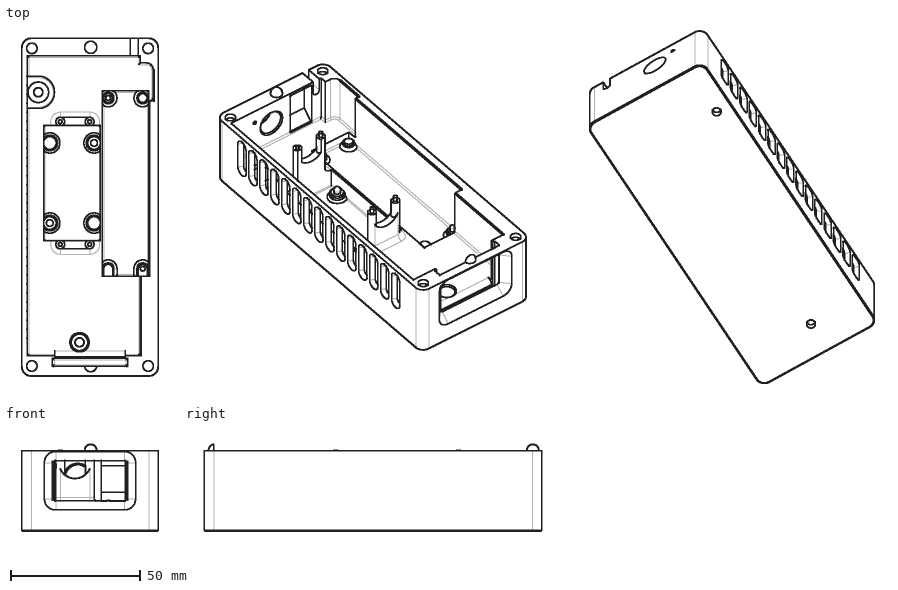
import cadquery as cq
import math

length = 130.8
width = 52.8
body_height = 31.1
corner_radius = 3.7
bottom_chamfer = 0.4

floor_z = 11.0
floor_fillet = 0.7
rim_chamfer = 0.4
left_wall_x = -24.3
right_wall_x = 19.5
front_wall_y = -57.5
back_wall_y = 58.6
pocket_x = 24.5
pocket_front_y = 41.0
pocket_back_y = 55.9
pocket_corner_radius = 2.6

long_recess_x = (4.7, 22.8)
long_recess_y = (-26.7, 45.1)
long_recess_z = 7.0
small_recess_x = (-17.9, 3.9)
small_recess_y = (-13.0, 31.7)
small_recess_z = 3.0
small_recess_fillet = 0.4

support_height = 2.5
support_pin_height = 2.5
long_support_radius = 2.2
long_pin_diameter = 1.8
small_support_radius = 3.0
small_pin_diameter = 2.6
support_chamfer = 0.5
long_support_foot = 1.2
small_support_foot = 0.9
support_inset = 2.4
long_support_end_inset = 2.9
small_support_end_inset = 6.8

post_diameter = 3.4
post_x = (-11.5, -0.1)
post_offset = 1.5
post_top_z = 29.3
post_tip_diameter = 1.5
post_tip_height = 2.0
cradle_end_z = 24.1
cradle_bottom_z = 20.4
cradle_foot_radius = 2.1

screw_diameter = 3.4
well_floor_z = 3.0
front_well_xy = (-4.0, -52.3)
front_well_diameter = 6.4
front_well_chamfer = 0.5
back_well_xy = (-20.0, 44.5)
back_well_diameter = 8.0
back_boss_radius = 6.3
back_boss_height = 1.6
back_boss_fillet = 0.5

vent_count = 15
vent_row_span = 98.0
vent_pitch = vent_row_span / (vent_count - 1)
vent_width = 5.2
vent_height = 17.0
vent_flare = 0.9
vent_center_z = 20.7

window_width = 35.3
window_height = 22.6
window_center_z = 19.5
window_corner_radius = 4.3
window_bevel = 3.5
panel_slot_width = 29.0
panel_slot_y = (-61.6, -58.5)
panel_opening_width = 27.2
sill_radius = 2.2
sill_front_y = -57.8

round_port_diameter = 9.8
round_port_xz = (-4.7, 20.8)
round_port_chamfer = 0.5
indicator_diameter = 1.5
indicator_xz = (-12.8, 25.2)
nook_x = (4.5, 14.9)
nook_depth = 4.7
nook_back_z = (15.0, 25.2)
cable_slot_width = 3.0
cable_slot_x = 17.1
cable_slot_bottom_z = 24.1

magnet_diameter = 4.0
magnet_depth = 2.0
magnet_x = 22.5
magnet_y = 61.5
dome_radius = 2.4
dome_base_height = 0.1
dome_x = 0.3
back_dome_y = 61.9
front_dome_y = -61.3


def block(x_limits, y_limits, z_limits):
    """Box given by its limits along each axis."""
    limits = (x_limits, y_limits, z_limits)
    sizes = [high - low for low, high in limits]
    return cq.Workplane("XY").box(*sizes, centered=False).translate(
        (x_limits[0], y_limits[0], z_limits[0])
    )


def rod(center, diameter, z_limits):
    """Vertical cylinder."""
    bottom, top = z_limits
    return (
        cq.Workplane("XY", origin=(center[0], center[1], bottom))
        .circle(diameter / 2)
        .extrude(top - bottom)
    )


def make_body():
    return (
        cq.Workplane("XY")
        .box(width, length, body_height, centered=(True, True, False))
        .edges("|Z").fillet(corner_radius)
        .faces("<Z").edges().chamfer(bottom_chamfer)
    )


def cavity_space():
    main = block(
        (left_wall_x, right_wall_x), (front_wall_y, back_wall_y), (floor_z, body_height)
    )
    pocket = (
        block((0, pocket_x), (pocket_front_y, pocket_back_y), (floor_z, body_height))
        .edges("|Z and >X and >Y").fillet(pocket_corner_radius)
        .edges("|Z and >X and <Y").fillet(pocket_x - long_recess_x[1])
    )
    return main.union(pocket).faces("<Z").edges().fillet(floor_fillet)


def small_recess_space():
    return (
        block(small_recess_x, small_recess_y, (small_recess_z, floor_z))
        .faces("<Z").edges().fillet(small_recess_fillet)
    )


def right_rim_chamfer():
    """Bevel along the inner edge of the right rim, stepping with the wall behind it."""
    reach = rim_chamfer
    bevel = cq.Workplane("XY")
    for wall_x, front_y, back_y in (
        (right_wall_x, front_wall_y, long_recess_y[0]),
        (long_recess_x[1], long_recess_y[0], pocket_front_y),
        (pocket_x, pocket_front_y, pocket_back_y - pocket_corner_radius),
    ):
        strip = (
            cq.Workplane("XZ", origin=(wall_x, back_y, body_height))
            .polyline([(0, 0), (reach, 0), (0, -reach)])
            .close()
            .extrude(back_y - front_y)
        )
        bevel = bevel.union(strip)
    return bevel


def long_recess_space():
    """The long recess also notches the right wall up to the rim."""
    return (
        block(long_recess_x, long_recess_y, (long_recess_z, body_height))
        .faces("<Z").edges().fillet(floor_fillet)
    )


def support_profile(plane, radius, foot):
    """Half section of a support: flared foot, upright side and chamfered top edge."""
    return (
        plane.polyline([
            (0, 0),
            (radius + foot, 0),
            (radius, foot),
            (radius, support_height - support_chamfer),
            (radius - support_chamfer, support_height),
            (0, support_height),
        ])
        .close()
    )


def support(center, radius, foot, base_z):
    plane = cq.Workplane("XZ", origin=(*center, base_z))
    return support_profile(plane, radius, foot).revolve(360, (0, 0, 0), (0, 1, 0))


def support_pin(center, diameter, base_z):
    """Domed pin on the top of a support."""
    dome_z = base_z + support_height + support_pin_height - diameter / 2
    dome = cq.Workplane("XY").sphere(diameter / 2).translate((*center, dome_z))
    return rod(center, diameter, (base_z, dome_z)).union(dome)


def support_set(x_positions, y_positions, radius, foot, base_z):
    """Supports at the four corners of a recess."""
    supports = cq.Workplane("XY")
    for x in x_positions:
        for y in y_positions:
            supports = supports.union(support((x, y), radius, foot, base_z))
    return supports


def long_recess_supports():
    left_x = long_recess_x[0] + support_inset
    right_x = long_recess_x[1] - support_inset
    front_y = long_recess_y[0] + long_support_end_inset
    back_y = long_recess_y[1] - long_support_end_inset
    supports = support_set(
        (left_x, right_x), (front_y, back_y), long_support_radius, long_support_foot, long_recess_z
    )
    for center in ((left_x, back_y), (right_x, front_y)):
        supports = supports.union(support_pin(center, long_pin_diameter, long_recess_z))
    for x in (left_x, right_x):
        plane = cq.Workplane("XZ", origin=(x, front_y, long_recess_z))
        profile = support_profile(plane, long_support_radius, long_support_foot)
        half_web = profile.extrude(long_support_end_inset)
        supports = supports.union(half_web).union(half_web.mirror("YZ", (x, 0, 0)))
    return supports.intersect(block(long_recess_x, long_recess_y, (long_recess_z, body_height)))


def small_recess_supports():
    left_x = small_recess_x[0] + support_inset
    right_x = small_recess_x[1] - support_inset
    front_y = small_recess_y[0] + small_support_end_inset
    back_y = small_recess_y[1] - small_support_end_inset
    supports = support_set(
        (left_x, right_x), (front_y, back_y), small_support_radius, small_support_foot, small_recess_z
    )
    for center in ((right_x, back_y), (left_x, front_y)):
        supports = supports.union(support_pin(center, small_pin_diameter, small_recess_z))
    return supports.intersect(block(small_recess_x, small_recess_y, (small_recess_z, body_height)))


def cradle_foot(center_y):
    """Concave flare around the foot of a cradle: a swept ring at each post, straight in between."""
    half_post = post_diameter / 2
    reach = half_post + cradle_foot_radius
    sag = cradle_foot_radius * (1 - math.sqrt(0.5))

    def flare(plane):
        return (
            plane.moveTo(0, 0)
            .lineTo(reach, 0)
            .threePointArc((half_post + sag, sag), (half_post, cradle_foot_radius))
            .lineTo(0, cradle_foot_radius)
            .close()
        )

    foot = cq.Workplane("XY")
    for x in post_x:
        ring_plane = cq.Workplane("XZ", origin=(x, center_y, floor_z))
        foot = foot.union(flare(ring_plane).revolve(360, (0, 0, 0), (0, 1, 0)))
    side_plane = cq.Workplane("YZ", origin=(post_x[0], center_y, floor_z))
    straight = flare(side_plane).extrude(post_x[1] - post_x[0])
    return foot.union(straight).union(straight.mirror("XZ", (0, center_y, 0)))


def cradle(center_y):
    """Plate with an arched top edge between two full posts, on a flared foot."""
    half_depth = post_diameter / 2
    plate = (
        cq.Workplane("XZ", origin=(0, center_y + half_depth, 0))
        .moveTo(post_x[0], floor_z)
        .lineTo(post_x[0], cradle_end_z)
        .threePointArc((sum(post_x) / 2, cradle_bottom_z), (post_x[1], cradle_end_z))
        .lineTo(post_x[1], floor_z)
        .close()
        .extrude(post_diameter)
    )
    solid = plate.union(cradle_foot(center_y))
    for x in post_x:
        solid = solid.union(rod((x, center_y), post_diameter, (floor_z, post_top_z)))
    return solid


def add_cradles(body):
    """The cradles stand at the ends of the small recess, trimmed flush with its walls."""
    front_y = small_recess_y[0] - post_offset
    back_y = small_recess_y[1] + post_offset
    clear_of = block(small_recess_x, small_recess_y, (small_recess_z, body_height)).union(
        block(long_recess_x, long_recess_y, (long_recess_z, body_height))
    )
    body = body.union(cradle(front_y).union(cradle(back_y)).cut(clear_of))
    tip_z = (post_top_z, post_top_z + post_tip_height)
    for y in (front_y, back_y):
        for x in post_x:
            if (x, y) == (post_x[0], back_y):
                socket_z = (post_top_z - post_tip_height, post_top_z)
                body = body.cut(rod((x, y), post_tip_diameter, socket_z))
            else:
                body = body.union(rod((x, y), post_tip_diameter, tip_z))
    return body


def back_boss():
    """Raised pad around the back screw well, running into the left wall."""
    x, y = back_well_xy
    top_z = floor_z + back_boss_height
    pad = rod(back_well_xy, 2 * back_boss_radius, (floor_z, top_z))
    y_limits = (y - back_boss_radius, y + back_boss_radius)
    pad = pad.union(block((-width / 2, x), y_limits, (floor_z, top_z)))
    pad = pad.faces(">Z").edges().fillet(back_boss_fillet)
    return pad.intersect(block((left_wall_x, 0), (0, length / 2), (floor_z, body_height)))


def screw_wells():
    wells = rod(front_well_xy, front_well_diameter, (well_floor_z, floor_z))
    lead_in = (
        cq.Workplane("XY", origin=(*front_well_xy, floor_z))
        .circle(front_well_diameter / 2 + front_well_chamfer)
        .workplane(offset=-front_well_chamfer)
        .circle(front_well_diameter / 2)
        .loft()
    )
    wells = wells.union(lead_in)
    wells = wells.union(rod(back_well_xy, back_well_diameter, (well_floor_z, floor_z + back_boss_height)))
    for center in (front_well_xy, back_well_xy):
        wells = wells.union(rod(center, screw_diameter, (0, floor_z)))
    return wells


def vents():
    """Row of upright slots through the left wall, narrowing towards the cavity."""
    wall = left_wall_x + width / 2
    taper = math.degrees(math.atan(vent_flare / wall))
    return (
        cq.Workplane("YZ", origin=(-width / 2, 0, vent_center_z))
        .rarray(vent_pitch, 1.3, vent_count, 1)
        .slot2D(vent_height, vent_width, 90)
        .extrude(wall, taper=taper)
    )


def window():
    """Bevelled opening that narrows from the front face to the panel slot."""
    depth = panel_slot_y[0] + length / 2
    taper = math.degrees(math.atan(window_bevel / depth))
    return (
        cq.Workplane("XZ", origin=(0, -length / 2, window_center_z))
        .sketch()
        .rect(window_width, window_height)
        .vertices().fillet(window_corner_radius)
        .finalize()
        .extrude(-depth, taper=taper)
    )


def panel_slot():
    """Upright slot for a sliding panel, open to the cavity over a rounded sill."""
    half_slot = panel_slot_width / 2
    half_opening = panel_opening_width / 2
    bottom_z = floor_z - sill_radius
    slot = (
        block((-half_slot, half_slot), panel_slot_y, (bottom_z - floor_fillet, body_height))
        .faces("<Z").edges().fillet(floor_fillet)
    )
    arc_y = sill_front_y + sill_radius
    diagonal = sill_radius * math.sqrt(0.5)
    opening = (
        cq.Workplane("YZ", origin=(-half_opening, 0, 0))
        .moveTo(arc_y, floor_z)
        .threePointArc((arc_y - diagonal, bottom_z + diagonal), (sill_front_y, bottom_z))
        .lineTo(panel_slot_y[1], bottom_z)
        .lineTo(panel_slot_y[1], body_height)
        .lineTo(arc_y, body_height)
        .close()
        .extrude(panel_opening_width)
    )
    return slot.union(opening)


def wall_bore(center_xz, diameter):
    """Round hole through the back wall."""
    x, z = center_xz
    return (
        cq.Workplane("XZ", origin=(x, back_wall_y, z))
        .circle(diameter / 2)
        .extrude(back_wall_y - length / 2)
    )


def round_port():
    """Round hole with a countersunk inner edge."""
    x, z = round_port_xz
    radius = round_port_diameter / 2
    lead_in = (
        cq.Workplane("XZ", origin=(x, back_wall_y, z))
        .circle(radius + round_port_chamfer)
        .workplane(offset=-round_port_chamfer)
        .circle(radius)
        .loft()
    )
    return wall_bore(round_port_xz, round_port_diameter).union(lead_in)


def nook():
    """Blind nook in the back wall with sloped floor and ceiling."""
    back_y = back_wall_y + nook_depth
    low_z, high_z = nook_back_z
    return (
        cq.Workplane("YZ", origin=(nook_x[0], 0, 0))
        .polyline([
            (back_wall_y, low_z - nook_depth),
            (back_y, low_z),
            (back_y, high_z),
            (back_wall_y, high_z + nook_depth),
        ])
        .close()
        .extrude(nook_x[1] - nook_x[0])
        .intersect(block(nook_x, (back_wall_y, back_y), (floor_z, body_height)))
    )


def cable_slot():
    """Round-bottomed slot through the back wall, open at the rim."""
    radius = cable_slot_width / 2
    center_z = cable_slot_bottom_z + radius
    channel = block(
        (cable_slot_x - radius, cable_slot_x + radius), (back_wall_y, length / 2), (center_z, body_height)
    )
    return channel.union(wall_bore((cable_slot_x, center_z), cable_slot_width))


def magnet_sockets():
    return (
        cq.Workplane("XY", origin=(0, 0, body_height))
        .rect(2 * magnet_x, 2 * magnet_y, forConstruction=True)
        .vertices()
        .circle(magnet_diameter / 2)
        .extrude(-magnet_depth)
    )


def rim_dome(y):
    """Ball end on a short base, rising from the rim."""
    base_top_z = body_height + dome_base_height
    ball = cq.Workplane("XY").sphere(dome_radius).translate((dome_x, y, base_top_z))
    return ball.union(rod((dome_x, y), 2 * dome_radius, (body_height, base_top_z)))


result = make_body().cut(cavity_space()).cut(long_recess_space())
result = result.cut(small_recess_space()).cut(right_rim_chamfer())
result = result.union(long_recess_supports()).union(small_recess_supports())
result = add_cradles(result)
result = result.union(back_boss()).cut(screw_wells())
result = result.union(rim_dome(back_dome_y))

front_dome = rim_dome(front_dome_y).cut(
    block((-width, width), (panel_slot_y[0], 0), (0, 2 * body_height))
)
result = result.union(front_dome).cut(panel_slot()).cut(window()).cut(vents())
result = result.cut(round_port())
result = result.cut(wall_bore(indicator_xz, indicator_diameter))
result = result.cut(nook()).cut(cable_slot()).cut(magnet_sockets())